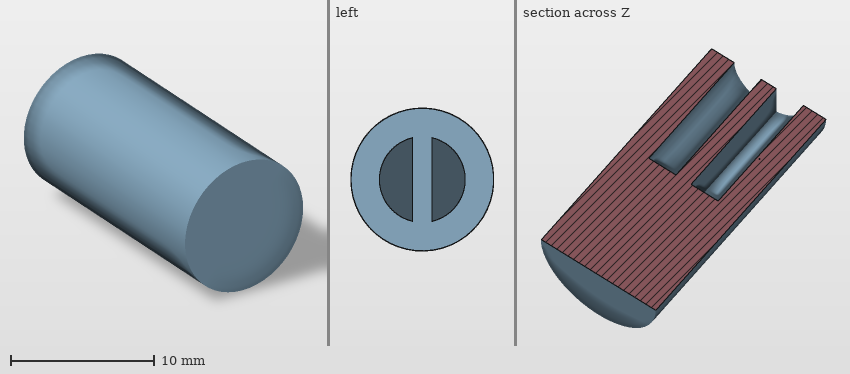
import cadquery as cq

length = 20.0
outer_diameter = 10.0

bore_diameter = 6.0
web_thickness = 1.35
bore_depth = 10.0

body = cq.Workplane("YZ").circle(outer_diameter / 2).extrude(length)
bore = cq.Workplane("YZ").circle(bore_diameter / 2).extrude(bore_depth)
web = cq.Workplane("YZ").rect(web_thickness, bore_diameter).extrude(bore_depth)

pockets = bore.cut(web)
result = body.cut(pockets)